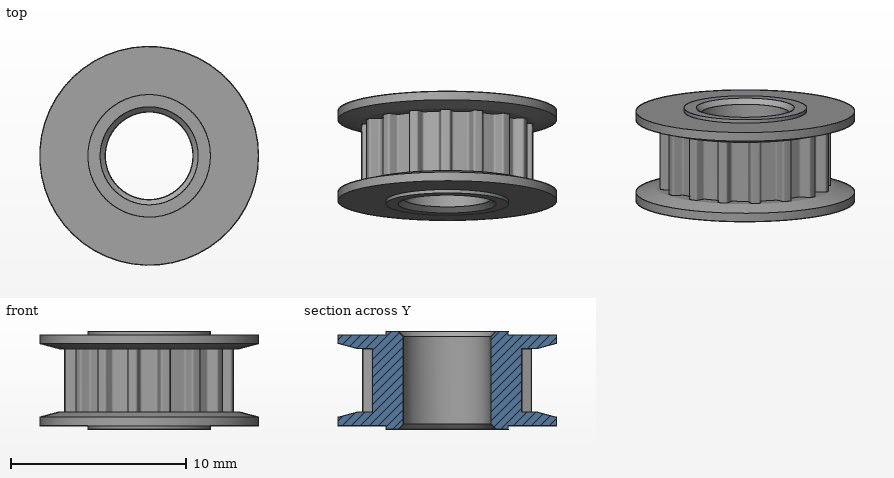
import cadquery as cq
import math

TOTAL_HEIGHT = 5.6
HUB_STEP = 0.2
FLANGE_RIM = 0.5
BELT_WIDTH = 3.6
FLANGE_OUTER_Z = TOTAL_HEIGHT / 2 - HUB_STEP
FLANGE_RIM_Z = FLANGE_OUTER_Z - FLANGE_RIM
FLANGE_INNER_Z = BELT_WIDTH / 2

FLANGE_DIAMETER = 12.5
HUB_DIAMETER = 7.0
BORE_DIAMETER = 5.0
BORE_CHAMFER = 0.3
FLANGE_TAPER_ANGLE = 15.0

TOOTH_COUNT = 16
TOOTH_PITCH_ANGLE = 360 / TOOTH_COUNT
TIP_RADIUS = 4.89
FLOOR_DISTANCE = 4.265
FLOOR_WIDTH = 0.95
FLANK_ANGLE = 20.0
TOOTH_FILLET = 0.13
GROOVE_OVERCUT = 0.5


def tooth_groove():
    """Trapezoidal groove with a flat floor, opening outward along +X."""
    mouth_distance = TIP_RADIUS + GROOVE_OVERCUT
    flank_run = (mouth_distance - FLOOR_DISTANCE) * math.tan(math.radians(FLANK_ANGLE))
    floor_half = FLOOR_WIDTH / 2
    mouth_half = floor_half + flank_run
    return (
        cq.Workplane("XY", origin=(0, 0, -BELT_WIDTH / 2))
        .moveTo(FLOOR_DISTANCE, -floor_half)
        .lineTo(mouth_distance, -mouth_half)
        .lineTo(mouth_distance, mouth_half)
        .lineTo(FLOOR_DISTANCE, floor_half)
        .close()
        .extrude(BELT_WIDTH)
    )


def toothed_core():
    """Belt drum with evenly spaced grooves, rounded at the tooth tips and roots."""
    core = cq.Workplane("XY").circle(TIP_RADIUS).extrude(BELT_WIDTH / 2, both=True)
    groove = tooth_groove()
    for index in range(TOOTH_COUNT):
        core = core.cut(groove.rotate((0, 0, 0), (0, 0, 1), index * TOOTH_PITCH_ANGLE))
    return core.edges("|Z").fillet(TOOTH_FILLET)


def upper_flange():
    """Flange with a conical inner face, carrying the raised hub."""
    flange_radius = FLANGE_DIAMETER / 2
    hub_radius = HUB_DIAMETER / 2
    taper_run = (FLANGE_RIM_Z - FLANGE_INNER_Z) / math.tan(math.radians(FLANGE_TAPER_ANGLE))
    return (
        cq.Workplane("XZ")
        .moveTo(0, FLANGE_INNER_Z)
        .lineTo(flange_radius - taper_run, FLANGE_INNER_Z)
        .lineTo(flange_radius, FLANGE_RIM_Z)
        .lineTo(flange_radius, FLANGE_OUTER_Z)
        .lineTo(hub_radius, FLANGE_OUTER_Z)
        .lineTo(hub_radius, TOTAL_HEIGHT / 2)
        .lineTo(0, TOTAL_HEIGHT / 2)
        .close()
        .revolve(360, (0, 0, 0), (0, 1, 0))
    )


def chamfered_bore():
    """Through bore, widened by a chamfer at both ends."""
    bore_radius = BORE_DIAMETER / 2
    mouth_radius = bore_radius + BORE_CHAMFER
    end_z = TOTAL_HEIGHT / 2
    chamfer_z = end_z - BORE_CHAMFER
    return (
        cq.Workplane("XZ")
        .moveTo(0, -end_z)
        .lineTo(mouth_radius, -end_z)
        .lineTo(bore_radius, -chamfer_z)
        .lineTo(bore_radius, chamfer_z)
        .lineTo(mouth_radius, end_z)
        .lineTo(0, end_z)
        .close()
        .revolve(360, (0, 0, 0), (0, 1, 0))
    )


flange = upper_flange()
result = toothed_core().union(flange).union(flange.mirror("XY")).cut(chamfered_bore())